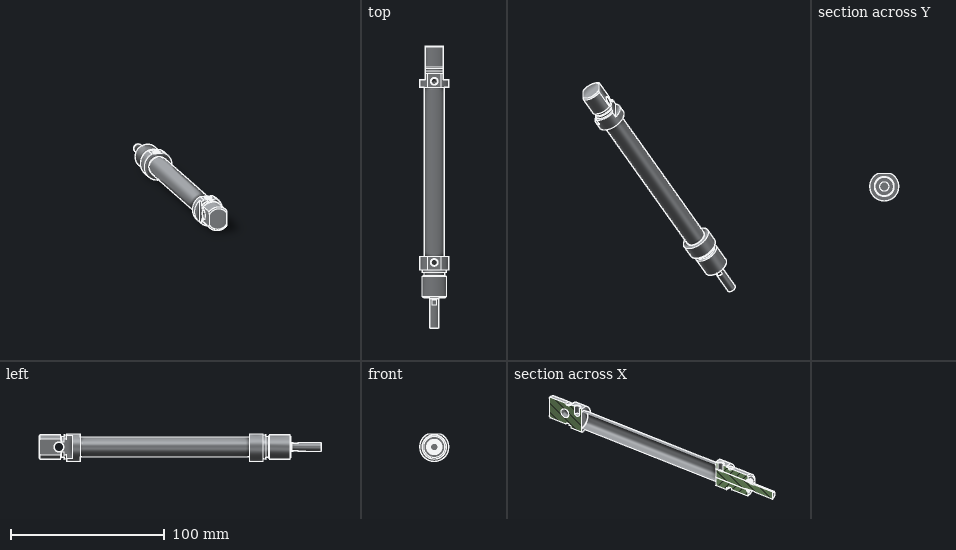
import cadquery as cq
import math


total_length = 184.0
rod_stick_out = 20.0
nose_length = 18.0
collar_length = 9.0
front_face = rod_stick_out
front_collar = front_face + nose_length
front_tube_end = front_collar + collar_length
rear_collar = total_length - nose_length
rear_tube_end = rear_collar - collar_length

collar_radius = 19.0 / 2
port_flat_height = 8.5
nose_radius = 16.0 / 2
neck_radius = 13.7 / 2
nose_chamfer_depth = nose_radius - neck_radius
nose_chamfer_length = nose_chamfer_depth * math.tan(math.radians(30))
neck_start = 14.5
neck_end = 16.3
shoulder_root_radius = 15.6 / 2

port_radius = 4.0 / 2
port_chamfer_radius = 5.0 / 2
port_chamfer_depth = port_chamfer_radius - port_radius
port_to_tube = 4.0
rear_port_depth = 6.0
drill_tip_half_angle = math.radians(59)
drill_tip_depth = port_radius / math.tan(drill_tip_half_angle)

tube_radius = 13.27 / 2
tube_bore_radius = 12.0 / 2
rolled_end_radius = 13.0 / 2
rolled_end_length = 1.7

seat_mouth_radius = 10.0 / 2
seat_radius = 9.1 / 2
seat_mouth_depth = 0.4
seat_step_radius = 8.0 / 2
seat_step_depth = 1.5
seat_depth = 1.0
seat_lip_radius = 7.1 / 2
seat_lip_depth = 2.0
bore_mouth_radius = 6.5 / 2
bore_mouth_depth = 2.5

tongue_half_width = 6.0
tongue_shoulder = 162.1
pivot_radius = 6.0 / 2
pivot_mouth_radius = 6.5 / 2
pivot_y = 171.0

rod_radius = 6.0 / 2
rod_thread_radius = 5.9 / 2
rod_thread_end = 19.2
rod_tip_radius = 4.8 / 2
rod_tip_chamfer = 0.35
rod_flat_height = 5.0 / 2
rod_flat_start = 15.2
rod_flat_end = 18.7


def revolve_about_y(points):
    """Solid of revolution about Y from (radius, y) points."""
    return cq.Workplane("XY").polyline(points).close().revolve(360, (0, 0, 0), (0, 1, 0))


def cover_blank(end_y, inward):
    """Nose, neck and flatted collar; inward is the Y direction from the nose face to the tube."""
    outline = [
        (0, 0),
        (nose_radius - nose_chamfer_depth, 0),
        (nose_radius, nose_chamfer_length),
        (nose_radius, neck_start - nose_chamfer_length),
        (neck_radius, neck_start),
        (neck_radius, neck_end),
        (nose_radius, neck_end),
        (shoulder_root_radius, nose_length),
        (collar_radius, nose_length),
        (collar_radius, nose_length + collar_length),
        (0, nose_length + collar_length),
    ]
    blank = revolve_about_y([(radius, end_y + inward * depth) for radius, depth in outline])
    above_flat = (
        cq.Workplane("XY")
        .workplane(offset=port_flat_height)
        .rect(2 * collar_radius, 2 * total_length)
        .extrude(collar_radius)
    )
    return blank.cut(above_flat)


def port_cutter(y, depth, tip_depth):
    """Vertical port from the flat down, with a chamfered mouth and a conical drill tip."""
    outline = [
        (0, port_flat_height),
        (port_chamfer_radius, port_flat_height),
        (port_radius, port_flat_height - port_chamfer_depth),
        (port_radius, port_flat_height - depth),
        (0, port_flat_height - depth - tip_depth),
    ]
    profile = cq.Workplane("XZ").polyline(outline).close()
    return profile.revolve(360, (0, 0, 0), (0, 1, 0)).translate((0, y, 0))


def make_front_cover():
    cover = cover_blank(front_face, 1)
    rod_bore = revolve_about_y(
        [
            (0, front_face),
            (seat_mouth_radius, front_face),
            (seat_radius, front_face + seat_mouth_depth),
            (seat_radius, front_face + seat_depth),
            (seat_step_radius, front_face + seat_depth),
            (seat_step_radius, front_face + seat_step_depth),
            (seat_lip_radius, front_face + seat_step_depth),
            (seat_lip_radius, front_face + seat_lip_depth),
            (bore_mouth_radius, front_face + seat_lip_depth),
            (rod_radius, front_face + bore_mouth_depth),
            (rod_radius, front_tube_end),
            (0, front_tube_end),
        ]
    )
    port = port_cutter(front_tube_end - port_to_tube, port_flat_height, 0)
    return cover.cut(rod_bore).cut(port)


def make_rear_cover():
    cover = cover_blank(total_length, -1)
    cheek_width = collar_radius - tongue_half_width
    cheek_length = total_length - tongue_shoulder
    for side in (-1, 1):
        cheek = cq.Workplane("XY").box(cheek_width, cheek_length, 2 * collar_radius).translate(
            (side * (tongue_half_width + cheek_width / 2), tongue_shoulder + cheek_length / 2, 0)
        )
        cover = cover.cut(cheek)
    pivot_mouth_x = tongue_half_width - (pivot_mouth_radius - pivot_radius)
    pivot_hole = (
        cq.Workplane("XY")
        .polyline(
            [
                (-tongue_half_width, 0),
                (-tongue_half_width, pivot_mouth_radius),
                (-pivot_mouth_x, pivot_radius),
                (pivot_mouth_x, pivot_radius),
                (tongue_half_width, pivot_mouth_radius),
                (tongue_half_width, 0),
            ]
        )
        .close()
        .revolve(360, (0, 0, 0), (1, 0, 0))
        .translate((0, pivot_y, 0))
    )
    port = port_cutter(rear_tube_end + port_to_tube, rear_port_depth, drill_tip_depth)
    return cover.cut(pivot_hole).cut(port)


def make_tube():
    return revolve_about_y(
        [
            (tube_bore_radius, front_tube_end),
            (rolled_end_radius, front_tube_end),
            (tube_radius, front_tube_end + rolled_end_length),
            (tube_radius, rear_tube_end - rolled_end_length),
            (rolled_end_radius, rear_tube_end),
            (tube_bore_radius, rear_tube_end),
        ]
    )


def make_rod():
    rod = revolve_about_y(
        [
            (0, 0),
            (rod_tip_radius, 0),
            (rod_thread_radius, rod_tip_chamfer),
            (rod_thread_radius, rod_thread_end),
            (rod_radius, rod_thread_end),
            (rod_radius, front_tube_end),
            (0, front_tube_end),
        ]
    )
    flat_length = rod_flat_end - rod_flat_start
    flat_cut_height = rod_radius - rod_flat_height
    for side in (-1, 1):
        flat = cq.Workplane("XY").box(2 * rod_radius, flat_length, flat_cut_height).translate(
            (0, rod_flat_start + flat_length / 2, side * (rod_flat_height + flat_cut_height / 2))
        )
        rod = rod.cut(flat)
    return rod


front_cover = make_front_cover()
rear_cover = make_rear_cover()
tube = make_tube()
rod = make_rod()

result = cq.Compound.makeCompound([front_cover.val(), rear_cover.val(), tube.val(), rod.val()])